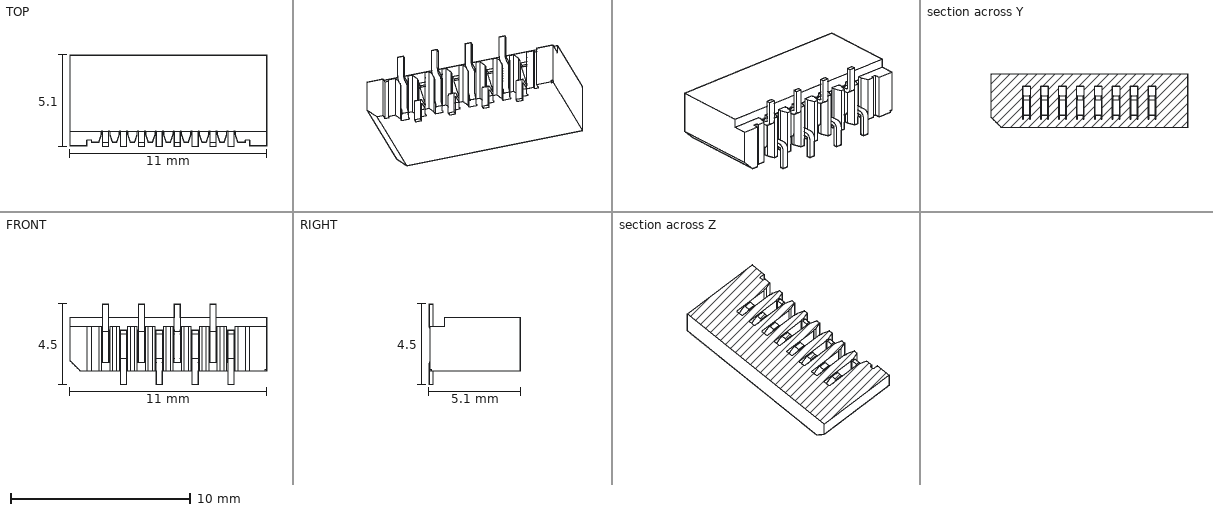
import cadquery as cq
import math

housing_length = 11.0
housing_height = 3.0
housing_back = 4.25
wing_front = -0.81
step_height = 0.5
key_chamfer = 0.6
corner_notch = 0.1

comb_front = -0.62
comb_top = housing_height - step_height
comb_front_width = 0.24
slot_width = 0.47
slot_straight_depth = 0.19
wing_width = 0.96
groove_width = 0.24
groove_bottom = -0.49

contact_count = 8
pitch = 1.0
contact_width = 0.35
contact_thickness = 0.22
contact_front = -0.85
foot_reach = 0.75
bend_inner_radius = 0.1
bend_outer_radius = bend_inner_radius + contact_thickness

shelf_bottom = 2.22
shelf_length = 0.19

pocket_width = 0.41
pocket_floor = 0.48
pocket_top = 2.31
pocket_end_clearance = 0.1
fold_inner_radius = 0.26
fold_angle = 150.0
spring_tip_y = 0.1
spring_tip_z = 2.09

lean = math.radians(180 - fold_angle)
fold_end_z = pocket_floor + contact_thickness + fold_inner_radius * (1 + math.cos(lean))
arm_length = (spring_tip_z - fold_end_z) / math.sin(lean)
fold_start_y = spring_tip_y + arm_length * math.cos(lean) - fold_inner_radius * math.sin(lean)
fold_back_y = fold_start_y + fold_inner_radius + contact_thickness
pocket_depth = fold_back_y + pocket_end_clearance


def block(x_min, x_max, y_min, y_max, z_min, z_max):
    size = (x_max - x_min, y_max - y_min, z_max - z_min)
    return cq.Workplane("XY").box(*size, centered=False).translate((x_min, y_min, z_min))


def housing_body():
    """Block with a step along the top front edge, a keying chamfer and a small corner notch."""
    half = housing_length / 2
    body = block(-half, half, wing_front, housing_back, 0, housing_height)
    body = body.edges("|Y and <X and <Z").chamfer(key_chamfer)
    body = body.cut(block(-half, half, wing_front, 0, comb_top, housing_height))
    notch = block(half - corner_notch, half, wing_front, wing_front + corner_notch, 0, corner_notch)
    return body.cut(notch)


def front_relief():
    """Volume that sets the comb back from the wings, with a deeper groove beside each wing."""
    inner = housing_length / 2 - wing_width
    relief = block(-inner, inner, wing_front, comb_front, 0, comb_top)
    for x_min in (-inner, inner - groove_width):
        groove = block(x_min, x_min + groove_width, wing_front, groove_bottom, 0, comb_top)
        relief = relief.union(groove)
    return relief


def contact_slot(x):
    """Vertical slot for one contact, flared towards the front."""
    half_back = slot_width / 2
    half_front = (pitch - comb_front_width) / 2
    outline = [
        (x - half_back, 0),
        (x - half_back, -slot_straight_depth),
        (x - half_front, comb_front),
        (x + half_front, comb_front),
        (x + half_back, -slot_straight_depth),
        (x + half_back, 0),
    ]
    return cq.Workplane("XY").polyline(outline).close().extrude(comb_top)


def contact_pocket(x):
    half = pocket_width / 2
    return block(x - half, x + half, 0, pocket_depth, pocket_floor, pocket_top)


def polar(center, radius, degrees):
    """Point at a distance and direction from center."""
    angle = math.radians(degrees)
    return (center[0] + radius * math.cos(angle), center[1] + radius * math.sin(angle))


def straight_run(start, heading, length):
    middle = polar(start, length / 2, heading)
    return (
        cq.Workplane("YZ")
        .center(*middle)
        .transformed(rotate=(0, 0, heading))
        .rect(length, contact_thickness)
        .extrude(contact_width)
    )


def bend(center, inner_radius, start_angle, turn):
    """Ring sector one strip thickness wide, swept around center from start_angle by turn."""
    outer_radius = inner_radius + contact_thickness
    middle_angle = start_angle + turn / 2
    end_angle = start_angle + turn
    return (
        cq.Workplane("YZ")
        .moveTo(*polar(center, inner_radius, start_angle))
        .threePointArc(polar(center, inner_radius, middle_angle), polar(center, inner_radius, end_angle))
        .lineTo(*polar(center, outer_radius, end_angle))
        .threePointArc(polar(center, outer_radius, middle_angle), polar(center, outer_radius, start_angle))
        .close()
        .extrude(contact_width)
    )


def bent_strip(x, start, heading, bends, last_length):
    """Strip of constant thickness in the YZ plane, centred on x.

    start is the (y, z) middle of the first end and heading its direction in degrees from +Y
    towards +Z. Each of bends is (length, turn, inner_radius): a straight run and the bend that
    follows it, with the turn in degrees positive from +Y towards +Z. The strip ends with a
    straight run of last_length.
    """
    position = start
    strip = cq.Workplane("YZ")
    for length, turn, inner_radius in bends:
        strip = strip.union(straight_run(position, heading, length))
        position = polar(position, length, heading)
        to_center = heading + math.copysign(90, turn)
        middle_radius = inner_radius + contact_thickness / 2
        center = polar(position, middle_radius, to_center)
        start_angle = to_center + 180
        strip = strip.union(bend(center, inner_radius, start_angle, turn))
        position = polar(center, middle_radius, start_angle + turn)
        heading += turn
    strip = strip.union(straight_run(position, heading, last_length))
    return strip.translate((x - contact_width / 2, 0, 0))


def lower_contact(x):
    """Foot pointing down, bent once to run along the pocket floor into the spring arm."""
    foot_tip = -foot_reach
    foot_length = pocket_floor - bend_inner_radius - foot_tip
    floor_run = fold_start_y - (contact_front + bend_outer_radius)
    bends = [
        (foot_length, -90, bend_inner_radius),
        (floor_run, fold_angle, fold_inner_radius),
    ]
    start = (contact_front + contact_thickness / 2, foot_tip)
    return bent_strip(x, start, 90, bends, arm_length)


def upper_contact(x):
    """Foot pointing up, bent over a short shelf and riser down to the pocket floor."""
    foot_tip = housing_height + foot_reach
    foot_length = foot_tip - (shelf_bottom + bend_outer_radius)
    riser_length = shelf_bottom - bend_inner_radius - (pocket_floor + bend_outer_radius)
    riser_front = contact_front + bend_outer_radius + shelf_length + bend_inner_radius
    floor_run = fold_start_y - (riser_front + bend_outer_radius)
    bends = [
        (foot_length, 90, bend_inner_radius),
        (shelf_length, -90, bend_inner_radius),
        (riser_length, 90, bend_inner_radius),
        (floor_run, fold_angle, fold_inner_radius),
    ]
    start = (contact_front + contact_thickness / 2, foot_tip)
    return bent_strip(x, start, -90, bends, arm_length)


result = housing_body().cut(front_relief())
for index in range(contact_count):
    contact_x = (index - (contact_count - 1) / 2) * pitch
    result = result.cut(contact_slot(contact_x)).cut(contact_pocket(contact_x))
    contact = upper_contact(contact_x) if index % 2 == 0 else lower_contact(contact_x)
    result = result.union(contact)